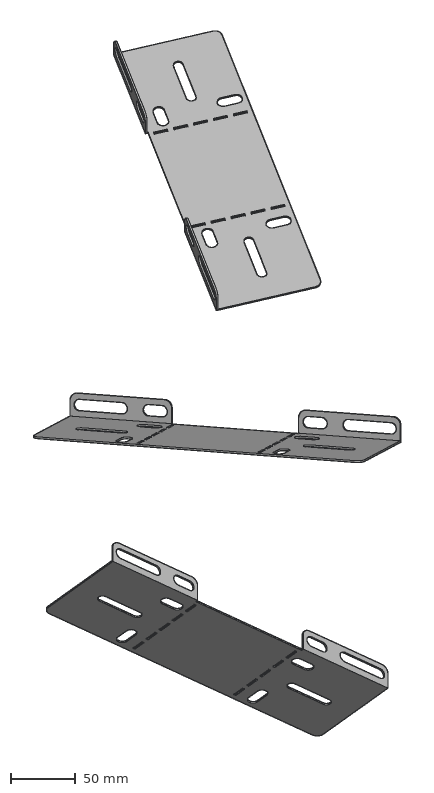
import cadquery as cq

LENGTH = 273.0
DEPTH = 86.0
HEIGHT = 20.0
THICKNESS = 1.5
FLANGE_LENGTH = 84.0
CORNER_RADIUS = 6.0
MIDDLE_SETBACK = 2.2

SLOT_WIDTH = 9.0
SHORT_SLOT_LENGTH = 20.0
PLATE_SHORT_SLOT_X = 65.0
REAR_SLOT_Y = 72.0
FRONT_SLOT_Y = 16.5
LONG_SLOT_LENGTH = 42.0
LONG_SLOT_WIDTH = 7.6
LONG_SLOT_X = 94.0
LONG_SLOT_Y = 44.5
FLANGE_SLOT_Z = 10.6
FLANGE_LONG_SLOT_LENGTH = 44.0
FLANGE_LONG_SLOT_X = 111.0
FLANGE_SHORT_SLOT_X = 66.0

SLIT_COUNT = 5
SLIT_LENGTH = 11.0
SLIT_WIDTH = 2.0
SLIT_PITCH = 16.0
SLIT_X = 50.0
SLIT_ROW_Y = 44.0

HALF_LENGTH = LENGTH / 2
FLANGE_X = HALF_LENGTH - FLANGE_LENGTH / 2
SIDES = (-1, 1)


def base_plate():
    """Flat plate with rounded rear corners and a set-back middle front edge."""
    plate = cq.Workplane("XY").box(LENGTH, DEPTH, THICKNESS, centered=(True, False, False))
    plate = plate.edges("|Z and >Y").fillet(CORNER_RADIUS)
    middle_length = LENGTH - 2 * FLANGE_LENGTH
    notch = cq.Workplane("XY").box(
        middle_length, MIDDLE_SETBACK, THICKNESS, centered=(True, False, False)
    )
    return plate.cut(notch)


def flange(side):
    """Upright front flange with rounded top corners."""
    blank = cq.Workplane("XY").box(FLANGE_LENGTH, THICKNESS, HEIGHT, centered=(True, False, False))
    return blank.edges("|Y and >Z").fillet(CORNER_RADIUS).translate((side * FLANGE_X, 0, 0))


def plate_slot(x, y, length, width, angle=0):
    """Cutter for a round-ended slot through the plate."""
    return cq.Workplane("XY").center(x, y).slot2D(length, width, angle).extrude(THICKNESS)


def flange_slot(x, length):
    """Cutter for a round-ended slot through a flange."""
    return cq.Workplane("XZ").center(x, FLANGE_SLOT_Z).slot2D(length, SLOT_WIDTH).extrude(-THICKNESS)


def slit_row(x):
    """Cutter for one row of evenly spaced rectangular slits."""
    return (
        cq.Workplane("XY")
        .center(x, SLIT_ROW_Y)
        .rarray(2.7, SLIT_PITCH, 1, SLIT_COUNT)
        .rect(SLIT_WIDTH, SLIT_LENGTH)
        .extrude(THICKNESS)
    )


result = base_plate()
for side in SIDES:
    result = result.union(flange(side))

for side in SIDES:
    short_slot_x = side * PLATE_SHORT_SLOT_X
    result = result.cut(plate_slot(short_slot_x, REAR_SLOT_Y, SHORT_SLOT_LENGTH, SLOT_WIDTH, 90))
    result = result.cut(plate_slot(short_slot_x, FRONT_SLOT_Y, SHORT_SLOT_LENGTH, SLOT_WIDTH))
    result = result.cut(plate_slot(side * LONG_SLOT_X, LONG_SLOT_Y, LONG_SLOT_LENGTH, LONG_SLOT_WIDTH))
    result = result.cut(slit_row(side * SLIT_X))
    result = result.cut(flange_slot(side * FLANGE_LONG_SLOT_X, FLANGE_LONG_SLOT_LENGTH))
    result = result.cut(flange_slot(side * FLANGE_SHORT_SLOT_X, SHORT_SLOT_LENGTH))